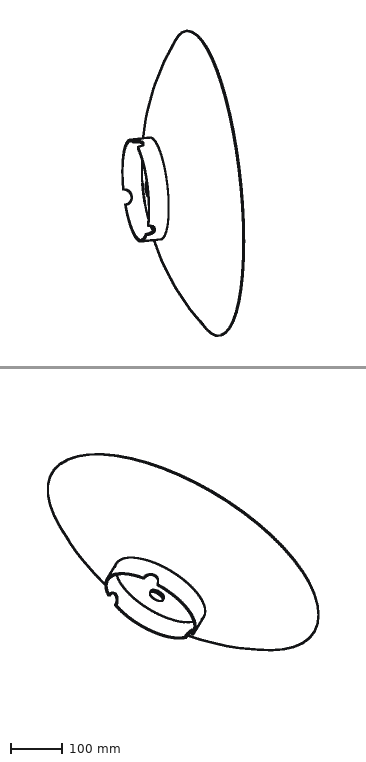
import cadquery as cq
import math

rim_radius = 300.0
sphere_radius = 474.0
dish_wall = 3.5
overall_depth = 138.5
collar_radius = 100.0
collar_wall = 3.0
notch_radius = 15.0
notch_count = 3
boss_radius = 14.5
boss_height = 5.0

rim_angle = math.asin(rim_radius / sphere_radius)
inner_radius = sphere_radius - dish_wall
center_y = inner_radius * math.cos(rim_angle)
apex_y = center_y - sphere_radius
collar_end_y = -overall_depth


def arc_point(radius, angle):
    """Point (distance from axis, Y) on a sphere of the dish, at an angle from the -Y axis."""
    return radius * math.sin(angle), center_y - radius * math.cos(angle)


def y_cylinder(radius, y_start, y_end):
    """Solid cylinder on the common axis."""
    return cq.Workplane("XZ", origin=(0, y_end, 0)).circle(radius).extrude(y_end - y_start)


def make_dish():
    """Thin spherical cap with a rim square to its wall."""
    return (
        cq.Workplane("XY")
        .moveTo(0, apex_y)
        .threePointArc(arc_point(sphere_radius, rim_angle / 2), arc_point(sphere_radius, rim_angle))
        .lineTo(*arc_point(inner_radius, rim_angle))
        .threePointArc(arc_point(inner_radius, rim_angle / 2), arc_point(inner_radius, 0))
        .close()
        .revolve(360, (0, 0, 0), (0, 1, 0))
    )


def make_sphere():
    """Full ball whose surface is the outside of the dish."""
    return cq.Workplane("XY", origin=(0, center_y, 0)).sphere(sphere_radius)


def make_collar():
    """Thin ring standing on the dish, with round notches spaced evenly in its free edge."""
    collar = y_cylinder(collar_radius, collar_end_y, 0)
    collar = collar.cut(y_cylinder(collar_radius - collar_wall, collar_end_y, 0)).cut(make_sphere())
    notch = (
        cq.Workplane("XY", origin=(0, collar_end_y, 0))
        .circle(notch_radius)
        .extrude(collar_radius + collar_wall)
    )
    for index in range(notch_count):
        collar = collar.cut(notch.rotate((0, 0, 0), (0, 1, 0), index * 360 / notch_count))
    return collar


def make_boss():
    """Small round boss seated on the apex of the dish."""
    return y_cylinder(boss_radius, apex_y - boss_height, 0).cut(make_sphere())


dish = make_dish()
collar = make_collar()
boss = make_boss()

result = cq.Compound.makeCompound([dish.val(), *collar.solids().vals(), *boss.solids().vals()])